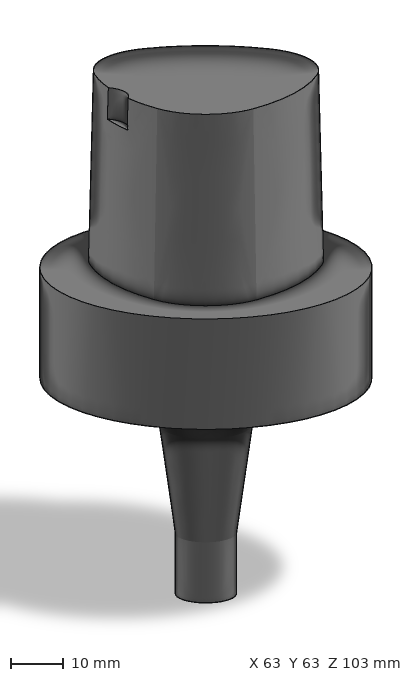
import cadquery as cq
import math

total_height = 103.0
collar_radius = 63.0 / 2
collar_top = 65.1
collar_bottom = 43.1
underside_angle = 15.0

tube_radius = 11.6 / 2
tube_height = 12.1
neck_angle = 8.0
neck_fillet = 5.2

lobe_radius = 14.6
lobe_offset = 8.9
flank_distance = 20.3
head_inset = 0.9

notch_radius = 5.5
notch_back_y = -17.7
notch_depth = 6.3


def polar(radius, degrees):
    angle = math.radians(degrees)
    return (radius * math.cos(angle), radius * math.sin(angle))


def make_collar_and_neck():
    """Revolve the collar, its conical underside, the neck and the tube."""
    neck_slope = math.tan(math.radians(neck_angle))
    underside_slope = math.tan(math.radians(underside_angle))

    neck_rise = (
        collar_bottom - tube_height - (collar_radius - tube_radius) * underside_slope
    ) / (1 - neck_slope * underside_slope)
    neck_top = tube_height + neck_rise
    neck_top_radius = tube_radius + neck_rise * neck_slope

    body = (
        cq.Workplane("XZ")
        .moveTo(0, 0)
        .lineTo(tube_radius, 0)
        .lineTo(tube_radius, tube_height)
        .lineTo(neck_top_radius, neck_top)
        .lineTo(collar_radius, collar_bottom)
        .lineTo(collar_radius, collar_top)
        .lineTo(0, collar_top)
        .close()
        .revolve(360, (0, 0, 0), (0, 1, 0))
    )
    margin = neck_fillet / 5
    junction = cq.selectors.BoxSelector(
        (-collar_radius, -collar_radius, neck_top - margin),
        (collar_radius, collar_radius, neck_top + margin),
        boundingbox=True,
    )
    return body.edges(junction).fillet(neck_fillet)


def make_head():
    """Taper a rounded triangle made of three corner arcs and three bowed sides."""
    gap = flank_distance - lobe_radius
    flank_offset = (lobe_offset**2 - gap**2) / (2 * gap - lobe_offset)
    flank_radius = flank_distance + flank_offset
    lobe_x, lobe_y = polar(lobe_offset, 60)
    reach = flank_radius / (flank_radius - lobe_radius)
    tangent_x = reach * (lobe_x + flank_offset) - flank_offset
    tangent_y = reach * lobe_y
    tangent_distance = math.hypot(tangent_x, tangent_y)
    tangent_angle = math.degrees(math.atan2(tangent_y, tangent_x))

    head_height = total_height - collar_top
    draft = math.degrees(math.atan(head_inset / head_height))

    flank_angles = (30, 150, 270)
    outline = cq.Workplane("XY", origin=(0, 0, collar_top)).moveTo(
        *polar(tangent_distance, flank_angles[0] - tangent_angle)
    )
    for flank in flank_angles:
        outline = outline.threePointArc(
            polar(flank_distance, flank),
            polar(tangent_distance, flank + tangent_angle),
        ).threePointArc(
            polar(lobe_offset + lobe_radius, flank + 60),
            polar(tangent_distance, flank + 120 - tangent_angle),
        )
    return outline.close().extrude(head_height, taper=draft)


def make_notch():
    """Upright cylinder that cuts the front of the head's top edge."""
    return (
        cq.Workplane("XY", origin=(0, notch_back_y - notch_radius, total_height - notch_depth))
        .circle(notch_radius)
        .extrude(notch_depth)
    )


result = make_collar_and_neck().union(make_head().cut(make_notch()))